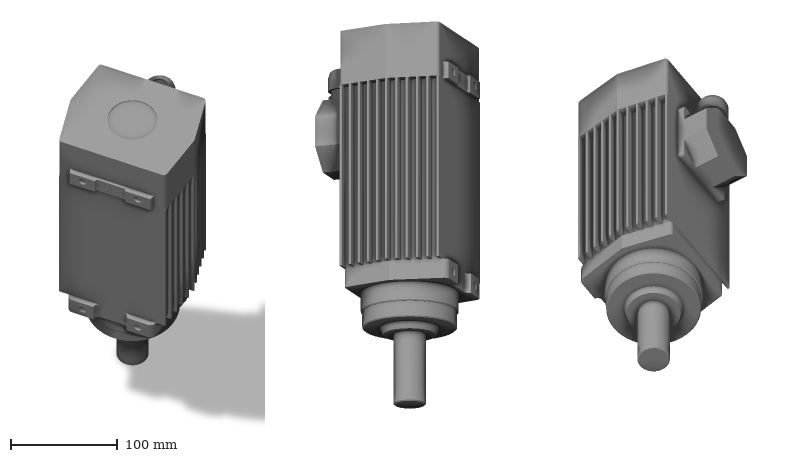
import cadquery as cq
import math


NOSE_TIP_Z = 67.5
COLLAR_BOTTOM_Z = 74.0
BARREL_BOTTOM_Z = 89.2
FLANGE_BOTTOM_Z = 107.5
HOUSING_BOTTOM_Z = 126.5
COVER_BOTTOM_Z = 301.5
TOP_Z = 354.0

HALF_WIDTH = 63.0
HALF_DEPTH = 50.0
SIDE_ANGLE = 10.0
PAD_FRONT_Y = -55.0

COVER_CORNER_RADIUS = 3.5
COVER_RECESS_RADIUS = 23.5
COVER_RECESS_DEPTH = 1.0

STRIP_HEIGHT = 16.3
STRIP_ROOT_HALF_WIDTH = 42.5
STRIP_FACE_HALF_WIDTH = 41.0
STRIP_MIDDLE_HALF_WIDTH = 12.7
STRIP_MIDDLE_Y = -52.5

PAD_HOLE_RADIUS = 4.0
PAD_HOLE_DEPTH = 10.0
PAD_HOLE_X = 28.0
STRIP_HOLE_Z = 310.8

FIN_COUNT = 11
FIN_THICKNESS = 2.5
FIN_HEIGHT = 10.0

FLANGE_HALF_WIDTH = 55.0
FLANGE_SIDE_ANGLE = 12.0
FLANGE_BACK_Y = 49.0
FLANGE_FRONT_RADIUS = 5.5
FLANGE_BACK_RADIUS = 4.0
FLANGE_RELIEF_HALF_WIDTH = 12.0

BARREL_RADIUS = 46.0
COLLAR_RADIUS = 44.5
CONE_TOP_RADIUS = 28.0
CONE_TIP_RADIUS = 25.0
SHAFT_RADIUS = 15.2
EDGE_CHAMFER = 1.0

BOX_SIZE = 70.0
BOX_TOP_Z = 299.5
BOX_BACK_Y = 81.8
BOX_BASE_DEPTH = 6.7
BOX_BASE_RADIUS = 3.0
BOX_CHAMFER = 20.5

GLAND_Y = 66.0
GLAND_FLATS = 27.0
GLAND_NUT_SIDES = 8
GLAND_NUT_TOP_Z = 304.8
GLAND_NECK_RADIUS = 12.5
GLAND_BODY_BOTTOM_Z = 309.8
GLAND_BODY_RADIUS = 15.2
GLAND_BODY_TOP_Z = 323.0
GLAND_DOME_RADIUS = 14.5
GLAND_DOME_ROUND = 5.5
GLAND_TOP_Z = 330.0
GLAND_RECESS_RADIUS = 7.5
GLAND_RECESS_DEPTH = 1.8


def ridged_prism(half_width, front_y, back_y, side_angle, bottom_z, top_z):
    """Upright prism with flat front and back whose sides slope away from a ridge at y = 0."""
    slope = math.tan(math.radians(side_angle))
    front_x = half_width + slope * front_y
    back_x = half_width - slope * back_y
    outline = [
        (-front_x, front_y),
        (front_x, front_y),
        (half_width, 0),
        (back_x, back_y),
        (-back_x, back_y),
        (-half_width, 0),
    ]
    return cq.Workplane("XY").workplane(offset=bottom_z).polyline(outline).close().extrude(top_z - bottom_z)


def pad_holes(z):
    """Cutters for the two blind mounting holes at height z in the front pads."""
    return (
        cq.Workplane("XZ", origin=(0, PAD_FRONT_Y, z))
        .pushPoints([(-PAD_HOLE_X, 0), (PAD_HOLE_X, 0)])
        .circle(PAD_HOLE_RADIUS)
        .extrude(-PAD_HOLE_DEPTH)
    )


def mounting_strip():
    """Strip with two raised pads, joined to a lower middle by concave rounds."""
    round_radius = STRIP_MIDDLE_Y - PAD_FRONT_Y
    pad_inner_x = STRIP_MIDDLE_HALF_WIDTH + round_radius
    profile = (
        cq.Workplane("XY")
        .workplane(offset=COVER_BOTTOM_Z)
        .moveTo(-STRIP_ROOT_HALF_WIDTH, -HALF_DEPTH)
        .lineTo(-STRIP_FACE_HALF_WIDTH, PAD_FRONT_Y)
        .lineTo(-pad_inner_x, PAD_FRONT_Y)
        .radiusArc((-STRIP_MIDDLE_HALF_WIDTH, STRIP_MIDDLE_Y), round_radius)
        .lineTo(STRIP_MIDDLE_HALF_WIDTH, STRIP_MIDDLE_Y)
        .radiusArc((pad_inner_x, PAD_FRONT_Y), round_radius)
        .lineTo(STRIP_FACE_HALF_WIDTH, PAD_FRONT_Y)
        .lineTo(STRIP_ROOT_HALF_WIDTH, -HALF_DEPTH)
        .close()
    )
    return profile.extrude(STRIP_HEIGHT)


def make_fan_cover():
    shell = ridged_prism(HALF_WIDTH, -HALF_DEPTH, HALF_DEPTH, SIDE_ANGLE, COVER_BOTTOM_Z, TOP_Z)
    shell = shell.edges("|Z and (<Y or >Y)").fillet(COVER_CORNER_RADIUS)
    recess = (
        cq.Workplane("XY")
        .workplane(offset=TOP_Z - COVER_RECESS_DEPTH)
        .circle(COVER_RECESS_RADIUS)
        .extrude(COVER_RECESS_DEPTH)
    )
    return shell.cut(recess).union(mounting_strip()).cut(pad_holes(STRIP_HOLE_Z))


def make_housing():
    """Ridged core with thin round-tipped fins running the full length of both sides."""
    housing = ridged_prism(
        HALF_WIDTH - FIN_HEIGHT, -HALF_DEPTH, HALF_DEPTH, SIDE_ANGLE, HOUSING_BOTTOM_Z, COVER_BOTTOM_Z
    )
    slope = math.tan(math.radians(SIDE_ANGLE))
    fin_pitch = (2 * HALF_DEPTH - FIN_THICKNESS) / (FIN_COUNT - 1)
    for index in range(FIN_COUNT):
        fin_y = fin_pitch * (index - (FIN_COUNT - 1) / 2)
        tip_x = HALF_WIDTH - slope * abs(fin_y)
        fin_pair = (
            cq.Workplane("XY", origin=(0, fin_y, HOUSING_BOTTOM_Z))
            .slot2D(2 * tip_x, FIN_THICKNESS)
            .extrude(COVER_BOTTOM_Z - HOUSING_BOTTOM_Z)
        )
        housing = housing.union(fin_pair)
    return housing


def make_flange():
    """Ridged plate with two front pads either side of a relief that ends in concave rounds."""
    height = HOUSING_BOTTOM_Z - FLANGE_BOTTOM_Z
    plate = ridged_prism(
        FLANGE_HALF_WIDTH, PAD_FRONT_Y, FLANGE_BACK_Y, FLANGE_SIDE_ANGLE, FLANGE_BOTTOM_Z, HOUSING_BOTTOM_Z
    )
    plate = plate.edges("|Z and <Y").fillet(FLANGE_FRONT_RADIUS)
    plate = plate.edges("|Z and >Y").fillet(FLANGE_BACK_RADIUS)
    relief_y = -HALF_DEPTH
    round_radius = relief_y - PAD_FRONT_Y
    pad_inner_x = FLANGE_RELIEF_HALF_WIDTH + round_radius
    relief = (
        cq.Workplane("XY")
        .workplane(offset=FLANGE_BOTTOM_Z)
        .moveTo(-pad_inner_x, PAD_FRONT_Y)
        .radiusArc((-FLANGE_RELIEF_HALF_WIDTH, relief_y), round_radius)
        .lineTo(FLANGE_RELIEF_HALF_WIDTH, relief_y)
        .radiusArc((pad_inner_x, PAD_FRONT_Y), round_radius)
        .close()
        .extrude(height)
    )
    hole_z = (FLANGE_BOTTOM_Z + HOUSING_BOTTOM_Z) / 2
    return plate.cut(relief).cut(pad_holes(hole_z))


def make_nose():
    """Turned bearing nose: barrel, slightly smaller collar and short cone."""
    profile = [
        (0, FLANGE_BOTTOM_Z),
        (BARREL_RADIUS, FLANGE_BOTTOM_Z),
        (BARREL_RADIUS, BARREL_BOTTOM_Z + EDGE_CHAMFER),
        (BARREL_RADIUS - EDGE_CHAMFER, BARREL_BOTTOM_Z),
        (COLLAR_RADIUS, BARREL_BOTTOM_Z),
        (COLLAR_RADIUS, COLLAR_BOTTOM_Z + EDGE_CHAMFER),
        (COLLAR_RADIUS - EDGE_CHAMFER, COLLAR_BOTTOM_Z),
        (CONE_TOP_RADIUS, COLLAR_BOTTOM_Z),
        (CONE_TIP_RADIUS, NOSE_TIP_Z),
        (0, NOSE_TIP_Z),
    ]
    return cq.Workplane("XZ").polyline(profile).close().revolve(360, (0, 0, 0), (0, 1, 0))


def make_shaft():
    return cq.Workplane("XY").circle(SHAFT_RADIUS).extrude(NOSE_TIP_Z).faces("<Z").chamfer(EDGE_CHAMFER)


def make_terminal_box():
    """Square base against the motor back, carrying a box with cut-off corners."""
    center_z = BOX_TOP_Z - BOX_SIZE / 2
    base_back_y = HALF_DEPTH + BOX_BASE_DEPTH
    base = (
        cq.Workplane("XZ", origin=(0, HALF_DEPTH, center_z))
        .rect(BOX_SIZE, BOX_SIZE)
        .extrude(-BOX_BASE_DEPTH)
        .edges("|Y")
        .fillet(BOX_BASE_RADIUS)
    )
    box = (
        cq.Workplane("XZ", origin=(0, base_back_y, center_z))
        .rect(BOX_SIZE, BOX_SIZE)
        .extrude(base_back_y - BOX_BACK_Y)
        .edges("|Y")
        .chamfer(BOX_CHAMFER)
    )
    return base.union(box)


def gland_cylinder(radius, bottom_z, top_z):
    return cq.Workplane("XY", origin=(0, GLAND_Y, bottom_z)).circle(radius).extrude(top_z - bottom_z)


def make_gland():
    """Cable gland: octagonal nut, neck, round body and domed top with a shallow recess."""
    nut = (
        cq.Workplane("XY", origin=(0, GLAND_Y, BOX_TOP_Z))
        .polygon(GLAND_NUT_SIDES, GLAND_FLATS, circumscribed=True)
        .extrude(GLAND_NUT_TOP_Z - BOX_TOP_Z)
    )
    neck = gland_cylinder(GLAND_NECK_RADIUS, GLAND_NUT_TOP_Z, GLAND_BODY_BOTTOM_Z)
    body = gland_cylinder(GLAND_BODY_RADIUS, GLAND_BODY_BOTTOM_Z, GLAND_BODY_TOP_Z)
    dome = gland_cylinder(GLAND_DOME_RADIUS, GLAND_BODY_TOP_Z, GLAND_TOP_Z)
    dome = dome.faces(">Z").edges().fillet(GLAND_DOME_ROUND)
    recess = gland_cylinder(GLAND_RECESS_RADIUS, GLAND_TOP_Z - GLAND_RECESS_DEPTH, GLAND_TOP_Z)
    return nut.union(neck).union(body).union(dome).cut(recess)


fan_cover = make_fan_cover()
housing = make_housing()
flange = make_flange()
nose = make_nose()
shaft = make_shaft()
terminal_box = make_terminal_box()
gland = make_gland()

result = cq.Compound.makeCompound(
    [
        fan_cover.val(),
        housing.val(),
        flange.val(),
        nose.val(),
        shaft.val(),
        terminal_box.val(),
        gland.val(),
    ]
)